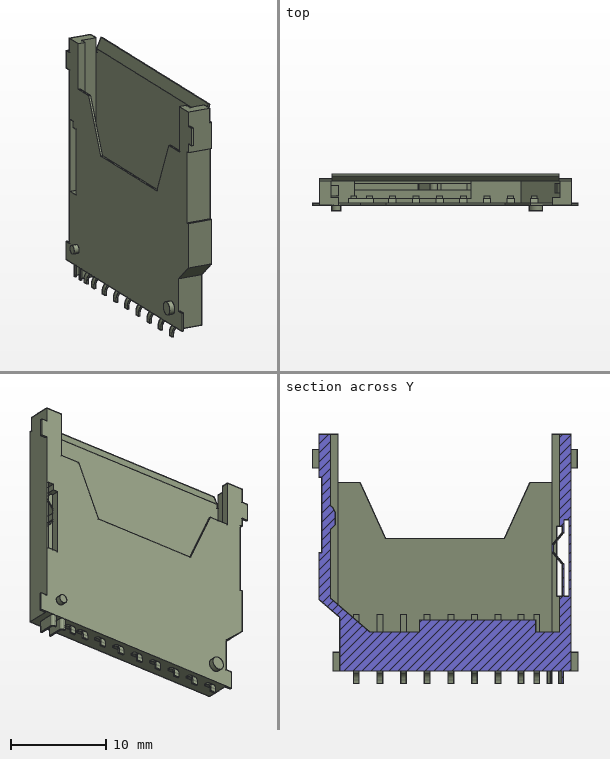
import cadquery as cq
import math


TOTAL_WIDTH = 27.98
TOTAL_HEIGHT = 26.25
BODY_DEPTH = 2.8
SHEET = 0.22
BODY_BOTTOM = 1.32
BODY_LEFT = 0.75
BODY_RIGHT = 27.28
BODY_CENTRE_X = (BODY_LEFT + BODY_RIGHT) / 2
BODY_LOWER_RIGHT = 25.1
CHAMFER_LOW_Z = 6.97
CHAMFER_HIGH_Z = 8.85
SIDE_RELIEF_DEPTH = 0.28
SIDE_RELIEF_LOW_Z = 13.8
SIDE_RELIEF_HIGH_Z = 21.7

FOOT_RIGHT = 25.83
FOOT_TOP = 3.33
EAR_LEFT = 0.08
EAR_LOW_Z = 22.7
EAR_HIGH_Z = 24.65

CAVITY_HALF_WIDTH = 12.03
CHANNEL_HALF_WIDTH = 11.25
RAIL_DEPTH = 0.85
CAVITY_FLOOR_Z = 5.45
CAVITY_CHAMFER_X = 21.95
COVER_INNER_Y = BODY_DEPTH - SHEET
CAVITY_LEFT = BODY_CENTRE_X - CAVITY_HALF_WIDTH
CAVITY_RIGHT = BODY_CENTRE_X + CAVITY_HALF_WIDTH

OPENING_SHOULDER_Z = 21.18
OPENING_BOTTOM_Z = 15.28
OPENING_SHOULDER_HALF = 8.93
OPENING_BOTTOM_HALF = 6.25

COVER_SIDE_TOP = 24.62
LIP_BEND_Z = 25.07
LIP_ANGLE = math.radians(24)
LIP_HALF_WIDTH = 11.95

LEAD_WIDTH = 0.62
LEAD_PITCH = 2.5
LAST_LEAD_X = 23.35
EVEN_LEADS = 7
EXTRA_LEAD_X = (6.02, 4.36)
LEAD_CENTRES = [LAST_LEAD_X - LEAD_PITCH * i for i in range(EVEN_LEADS)] + list(EXTRA_LEAD_X)
LEAD_THICKNESS = 0.2
LEAD_FOOT_Z = 0.4
TIP_TOP_Z = 7.27
TIP_BACK_Y = 1.0
GROOVE_WIDTH = 0.78
GROOVE_BACK_Y = 0.7
GROOVE_LOW_Z = 3.92
GROOVE_HIGH_Z = 4.48
JOINED_GROOVE_LEFT = 3.8
JOINED_GROOVE_RIGHT = 6.44

STOP_LEFT = 4.45
STOP_RIGHT = 16.7
STOP_TOP_Z = 6.72
RECESS_FRONT_Y = 1.6
RECESS_BACK_Y = 2.3
RECESS_BOTTOM_Z = 3.92
SENSOR_LEFT = 11.1
SENSOR_RAMP_X = 11.25
SENSOR_RAMP_Z = 5.05
SENSOR_NOSE_X = 12.75
SENSOR_NOSE_RADIUS = 0.4
SENSOR_TAIL_Z = 5.74
SENSOR_TAIL_X = 13.55
SENSOR_RIGHT = 16.28

WINDOW_LEFT = 0.98
WINDOW_STEP_X = 1.65
WINDOW_RIGHT = 2.25
WINDOW_BOTTOM_Z = 9.2
WINDOW_STEP_Z = 16.55
WINDOW_TOP_Z = 17.24
WINDOW_DEPTH = 2.1
SPRING_BACK_X = 1.48
SPRING_THICKNESS = 0.2
SPRING_FRONT_Y = 1.0
SPRING_BULGE_X = 2.77
BULGE_HIGH_Z = 15.92
BULGE_LOW_Z = 12.54
BULGE_SLOPE = 1.2

LOCK_HEIGHT = 0.5
LOCK_SHELF = 0.28
LOCK_FRONT_Y = 1.3
LOCK_BACK_Y = 2.32
LOCK_LOW_Z = 16.23
LOCK_HIGH_Z = 18.47

TERMINAL_LEFT = (1.55, 2.75)
TERMINAL_FOOT = 0.53
TERMINAL_BACK_Y = 2.0
TERMINAL_SHEET = 0.17
TERMINAL_BEND = 0.34

PEG_Z = 3.27
PEG_LENGTH = 0.6
SMALL_PEG_X = 2.52
SMALL_PEG_DIAMETER = 0.95
LARGE_PEG_X = 23.53
LARGE_PEG_DIAMETER = 1.43

EMBED = 0.28


def box(x0, x1, y0, y1, z0, z1):
    """Block between two opposite corners."""
    return cq.Workplane("XY").box(x1 - x0, y1 - y0, z1 - z0, centered=False).translate((x0, y0, z0))


def plate(points, y0, y1):
    """Outline in X and Z, filled from y0 to y1."""
    return cq.Workplane("XZ", origin=(0, y0, 0)).polyline(points).close().extrude(y0 - y1)


def mirrored(points):
    """Complete a right-hand half outline of (half width, z) pairs about the body centre."""
    right = [(BODY_CENTRE_X + half, z) for half, z in points]
    left = [(BODY_CENTRE_X - half, z) for half, z in reversed(points)]
    return right + left


def make_shell():
    relief_x = BODY_RIGHT - SIDE_RELIEF_DEPTH
    outline = [
        (BODY_LEFT, BODY_BOTTOM),
        (BODY_LOWER_RIGHT, BODY_BOTTOM),
        (BODY_LOWER_RIGHT, CHAMFER_LOW_Z),
        (BODY_RIGHT, CHAMFER_HIGH_Z),
        (BODY_RIGHT, SIDE_RELIEF_LOW_Z),
        (relief_x, SIDE_RELIEF_LOW_Z),
        (relief_x, SIDE_RELIEF_HIGH_Z),
        (BODY_RIGHT, SIDE_RELIEF_HIGH_Z),
        (BODY_RIGHT, TOTAL_HEIGHT),
        (BODY_LEFT, TOTAL_HEIGHT),
    ]
    shell = plate(outline, 0, BODY_DEPTH)
    shell = shell.union(box(0, FOOT_RIGHT, 0, SHEET, BODY_BOTTOM, FOOT_TOP))
    return shell.union(box(EAR_LEFT, TOTAL_WIDTH, 0, SHEET, EAR_LOW_Z, EAR_HIGH_Z))


def cut_cavity(body):
    chamfer_slope = (CHAMFER_HIGH_Z - CHAMFER_LOW_Z) / (BODY_RIGHT - BODY_LOWER_RIGHT)
    chamfer_rise = (CAVITY_RIGHT - CAVITY_CHAMFER_X) * chamfer_slope
    outline = [
        (CAVITY_LEFT, CAVITY_FLOOR_Z),
        (CAVITY_CHAMFER_X, CAVITY_FLOOR_Z),
        (CAVITY_RIGHT, CAVITY_FLOOR_Z + chamfer_rise),
        (CAVITY_RIGHT, TOTAL_HEIGHT),
        (CAVITY_LEFT, TOTAL_HEIGHT),
    ]
    card_space = plate(outline, SHEET, COVER_INNER_Y)
    channel_left = BODY_CENTRE_X - CHANNEL_HALF_WIDTH
    channel_right = BODY_CENTRE_X + CHANNEL_HALF_WIDTH
    for x0, x1 in ((CAVITY_LEFT, channel_left), (channel_right, CAVITY_RIGHT)):
        card_space = card_space.cut(box(x0, x1, 0, RAIL_DEPTH, CAVITY_FLOOR_Z, TOTAL_HEIGHT))

    opening = plate(
        mirrored([
            (OPENING_BOTTOM_HALF, OPENING_BOTTOM_Z),
            (OPENING_SHOULDER_HALF, OPENING_SHOULDER_Z),
            (CHANNEL_HALF_WIDTH, OPENING_SHOULDER_Z),
            (CHANNEL_HALF_WIDTH, TOTAL_HEIGHT),
        ]),
        0,
        RAIL_DEPTH,
    )
    return body.cut(card_space).cut(opening)


def shape_cover(body):
    """Trim the cover at the mouth and add its flared lip."""
    trim = box(BODY_LEFT, BODY_RIGHT, COVER_INNER_Y, BODY_DEPTH, COVER_SIDE_TOP, TOTAL_HEIGHT)
    lip_left = BODY_CENTRE_X - LIP_HALF_WIDTH
    lip_right = BODY_CENTRE_X + LIP_HALF_WIDTH
    trim = trim.cut(box(lip_left, lip_right, COVER_INNER_Y, BODY_DEPTH, COVER_SIDE_TOP, LIP_BEND_Z))
    inner_top_y = COVER_INNER_Y + (TOTAL_HEIGHT - LIP_BEND_Z) * math.tan(LIP_ANGLE)
    outer_top_y = inner_top_y + SHEET * math.cos(LIP_ANGLE)
    outer_top_z = TOTAL_HEIGHT - SHEET * math.sin(LIP_ANGLE)
    outer_bend_z = outer_top_z - (outer_top_y - BODY_DEPTH) / math.tan(LIP_ANGLE)
    lip = (
        cq.Workplane("YZ", origin=(lip_left, 0, 0))
        .polyline([
            (COVER_INNER_Y, LIP_BEND_Z),
            (inner_top_y, TOTAL_HEIGHT),
            (outer_top_y, outer_top_z),
            (BODY_DEPTH, outer_bend_z),
        ])
        .close()
        .extrude(lip_right - lip_left)
    )
    return body.cut(trim).union(lip)


def add_card_stop(body):
    block = box(STOP_LEFT, STOP_RIGHT, GROOVE_BACK_Y, COVER_INNER_Y + SHEET / 2,
                CAVITY_FLOOR_Z - EMBED, STOP_TOP_Z)
    recess = box(STOP_LEFT, STOP_RIGHT, RECESS_FRONT_Y, RECESS_BACK_Y, RECESS_BOTTOM_Z, STOP_TOP_Z)
    nose_z = STOP_TOP_Z - SENSOR_NOSE_RADIUS
    nose_left = SENSOR_NOSE_X - SENSOR_NOSE_RADIUS
    nose_right = SENSOR_NOSE_X + SENSOR_NOSE_RADIUS
    sensor = (
        cq.Workplane("XZ", origin=(0, RECESS_FRONT_Y, 0))
        .moveTo(SENSOR_LEFT, RECESS_BOTTOM_Z)
        .lineTo(SENSOR_RAMP_X, SENSOR_RAMP_Z)
        .lineTo(nose_left, nose_z)
        .threePointArc((SENSOR_NOSE_X, STOP_TOP_Z), (nose_right, nose_z))
        .lineTo(nose_right, SENSOR_TAIL_Z)
        .lineTo(SENSOR_TAIL_X, SENSOR_TAIL_Z)
        .lineTo(SENSOR_RIGHT, RECESS_BOTTOM_Z)
        .close()
        .extrude(RECESS_FRONT_Y - RECESS_BACK_Y)
    )
    return body.union(block).cut(recess).union(sensor)


def cut_contact_grooves(body):
    """Sloped grooves in the cavity floor, open towards the board-side plate."""
    spans = [(x - GROOVE_WIDTH / 2, x + GROOVE_WIDTH / 2) for x in LEAD_CENTRES[:EVEN_LEADS]]
    spans.append((JOINED_GROOVE_LEFT, JOINED_GROOVE_RIGHT))
    for x0, x1 in spans:
        groove = (
            cq.Workplane("YZ", origin=(x0, 0, 0))
            .polyline([
                (SHEET, GROOVE_HIGH_Z),
                (GROOVE_BACK_Y, GROOVE_LOW_Z),
                (GROOVE_BACK_Y, TIP_TOP_Z),
                (SHEET, TIP_TOP_Z),
            ])
            .close()
            .extrude(x1 - x0)
        )
        body = body.cut(groove)
    return body


def make_lead(x):
    """Contact tip in the cavity and the curved solder lead below the body."""
    left = x - LEAD_WIDTH / 2
    outer = BODY_BOTTOM - LEAD_FOOT_Z
    inner = outer - LEAD_THICKNESS
    diagonal = math.sqrt(0.5)
    tail = (
        cq.Workplane("YZ", origin=(left, 0, 0))
        .moveTo(0, 0)
        .lineTo(0, LEAD_FOOT_Z)
        .threePointArc(
            (outer * (1 - diagonal), LEAD_FOOT_Z + outer * diagonal),
            (outer, BODY_BOTTOM),
        )
        .lineTo(outer, BODY_BOTTOM + EMBED)
        .lineTo(outer + LEAD_THICKNESS, BODY_BOTTOM + EMBED)
        .lineTo(outer + LEAD_THICKNESS, LEAD_FOOT_Z + inner)
        .lineTo(outer, LEAD_FOOT_Z + inner)
        .threePointArc(
            (outer - inner * diagonal, LEAD_FOOT_Z + inner * diagonal),
            (LEAD_THICKNESS, LEAD_FOOT_Z),
        )
        .lineTo(LEAD_THICKNESS, 0)
        .close()
        .extrude(LEAD_WIDTH)
    )
    tip = box(left, left + LEAD_WIDTH, GROOVE_BACK_Y, TIP_BACK_Y, CAVITY_FLOOR_Z - EMBED, TIP_TOP_Z)
    return tail, tip


def add_switch_spring(body):
    window = plate(
        [
            (WINDOW_LEFT, WINDOW_BOTTOM_Z),
            (WINDOW_RIGHT, WINDOW_BOTTOM_Z),
            (WINDOW_RIGHT, WINDOW_STEP_Z),
            (WINDOW_STEP_X, WINDOW_STEP_Z),
            (WINDOW_STEP_X, WINDOW_TOP_Z),
            (WINDOW_LEFT, WINDOW_TOP_Z),
        ],
        0,
        WINDOW_DEPTH,
    )
    front_x = SPRING_BACK_X + SPRING_THICKNESS
    hollow_x = SPRING_BULGE_X - SPRING_THICKNESS
    rise = (hollow_x - SPRING_BACK_X) * BULGE_SLOPE
    spring = plate(
        [
            (SPRING_BACK_X, WINDOW_BOTTOM_Z),
            (front_x, WINDOW_BOTTOM_Z),
            (front_x, BULGE_LOW_Z),
            (SPRING_BULGE_X, BULGE_LOW_Z + rise),
            (SPRING_BULGE_X, BULGE_HIGH_Z - rise),
            (front_x, BULGE_HIGH_Z),
            (front_x, WINDOW_TOP_Z),
            (SPRING_BACK_X, WINDOW_TOP_Z),
            (SPRING_BACK_X, BULGE_HIGH_Z),
            (hollow_x, BULGE_HIGH_Z - rise),
            (hollow_x, BULGE_LOW_Z + rise),
            (SPRING_BACK_X, BULGE_LOW_Z),
        ],
        SPRING_FRONT_Y,
        WINDOW_DEPTH,
    )
    return body.cut(window).union(spring)


def make_card_lock():
    nose_x = CAVITY_RIGHT - LOCK_HEIGHT
    return plate(
        [
            (CAVITY_RIGHT + EMBED, LOCK_LOW_Z),
            (CAVITY_RIGHT, LOCK_LOW_Z),
            (nose_x, LOCK_LOW_Z + LOCK_HEIGHT),
            (nose_x, LOCK_HIGH_Z - LOCK_HEIGHT),
            (CAVITY_RIGHT - LOCK_SHELF, LOCK_HIGH_Z),
            (CAVITY_RIGHT, LOCK_HIGH_Z + LOCK_SHELF),
            (CAVITY_RIGHT + EMBED, LOCK_HIGH_Z + LOCK_SHELF),
        ],
        LOCK_FRONT_Y,
        LOCK_BACK_Y,
    )


def make_terminal(left):
    """Upright strip bent round at the board side into a short foot."""
    inner_x = left + TERMINAL_SHEET
    block = box(left, left + TERMINAL_FOOT, 0, TERMINAL_BACK_Y, 0, BODY_BOTTOM + EMBED)
    space = box(inner_x, left + TERMINAL_FOOT, TERMINAL_SHEET, TERMINAL_BACK_Y, 0, BODY_BOTTOM + EMBED)
    strip = block.cut(space)
    strip = strip.edges(cq.selectors.NearestToPointSelector((left, 0, BODY_BOTTOM / 2))).fillet(TERMINAL_BEND)
    inner_corner = cq.selectors.NearestToPointSelector((inner_x, TERMINAL_SHEET, BODY_BOTTOM / 2))
    return strip.edges(inner_corner).fillet(TERMINAL_BEND - TERMINAL_SHEET)


def make_peg(x, diameter):
    return cq.Workplane("XZ").center(x, PEG_Z).circle(diameter / 2).extrude(PEG_LENGTH)


result = shape_cover(cut_cavity(make_shell()))
result = cut_contact_grooves(add_card_stop(result))
result = add_switch_spring(result).union(make_card_lock())
for lead_x in LEAD_CENTRES:
    for piece in make_lead(lead_x):
        result = result.union(piece)
for terminal_x in TERMINAL_LEFT:
    result = result.union(make_terminal(terminal_x))
result = result.union(make_peg(SMALL_PEG_X, SMALL_PEG_DIAMETER))
result = result.union(make_peg(LARGE_PEG_X, LARGE_PEG_DIAMETER))